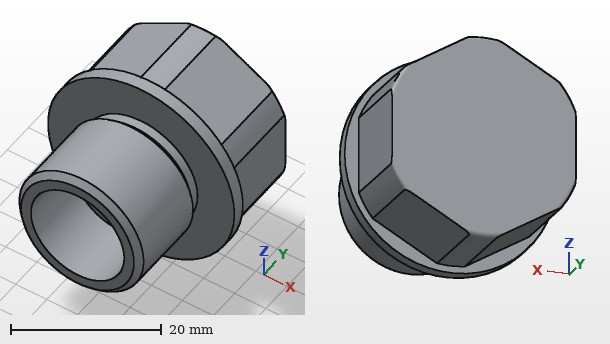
import cadquery as cq

total_length = 30.0
flange_diameter = 30.0
flange_thickness = 2.0
shank_diameter = 20.0
neck_diameter = 18.15
bore_diameter = 15.0
bore_depth = 10.0
shank_chamfer = (shank_diameter - neck_diameter) / 2
neck_length = 1.5
head_length = 13.0

head_sides = 6
across_flats = 26.0
corner_diameter = 28.05
rim_radius = 0.5

back = total_length / 2
front = -back
flange_back = back - head_length
flange_front = flange_back - flange_thickness
shank_back = flange_front - neck_length


def cylinder(diameter, start, end):
    """Cylinder on the Y axis from start to end."""
    plane = cq.Workplane("XZ", origin=(0, end, 0))
    return plane.circle(diameter / 2).extrude(end - start)


def make_head():
    """Hexagonal prism trimmed by a cylinder with a rounded rear rim."""
    hexagon = (
        cq.Workplane("XZ", origin=(0, back, 0))
        .polygon(head_sides, across_flats, circumscribed=True)
        .extrude(head_length)
    )
    rounding = cylinder(corner_diameter, flange_back, back).faces(">Y").fillet(rim_radius)
    return hexagon.intersect(rounding)


shank = cylinder(shank_diameter, front, shank_back).faces("<Y or >Y").chamfer(shank_chamfer)
neck = cylinder(neck_diameter, shank_back, flange_front)
flange = cylinder(flange_diameter, flange_front, flange_back)
bore = cylinder(bore_diameter, front, front + bore_depth)

result = make_head().union(flange).union(neck).union(shank).cut(bore)